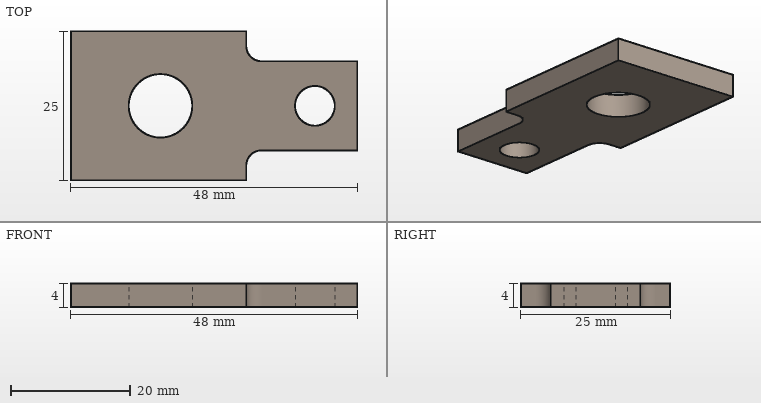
import cadquery as cq

length = 48.0
body_width = 25.0
thickness = 4.0
body_length = 29.4
tab_width = 15.0
corner_radius = 2.5

body_hole_x = 15.0
body_hole_diameter = 10.6
tab_hole_x = 40.9
tab_hole_diameter = 6.6


def centred_plate(start_x, end_x, width):
    """Plate symmetric about the X axis, resting on Z = 0."""
    return (
        cq.Workplane("XY")
        .box(end_x - start_x, width, thickness, centered=(False, True, False))
        .translate((start_x, 0, 0))
    )


def through_hole(x, diameter):
    """Cylinder that cuts a hole through the plate."""
    return cq.Workplane("XY").center(x, 0).circle(diameter / 2).extrude(thickness)


body = centred_plate(0, body_length, body_width)
tab = centred_plate(body_length, length, tab_width)
plate = body.union(tab)

inside_corners = cq.selectors.BoxSelector(
    (body_length - corner_radius, -tab_width / 2 - corner_radius, 0),
    (body_length + corner_radius, tab_width / 2 + corner_radius, thickness),
)
plate = plate.edges("|Z").edges(inside_corners).fillet(corner_radius)

result = plate.cut(through_hole(body_hole_x, body_hole_diameter))
result = result.cut(through_hole(tab_hole_x, tab_hole_diameter))